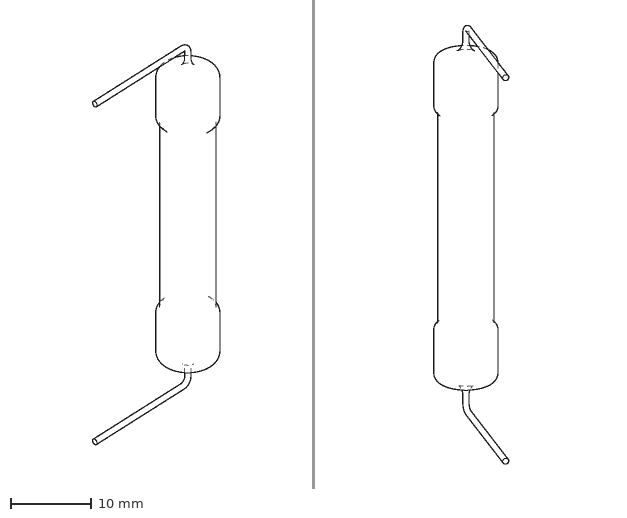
import cadquery as cq
import math

TOTAL_LENGTH = 52.8
TUBE_DIAMETER = 7.0
CAP_RADIUS = 4.0
CAP_EDGE_RADIUS = 0.95
CAP_STRAIGHT_LENGTH = 5.9
NECK_ARC_RADIUS = 0.55
LEAD_RADIUS = 0.4
FLARE_RADIUS = 2.0
LEAD_STUB_LENGTH = 1.0
BEND_RADIUS = 1.0
LEAD_REACH = 17.0

lead_z = TOTAL_LENGTH / 2 - LEAD_RADIUS
bend_start_z = lead_z - BEND_RADIUS
flare_top_z = bend_start_z - LEAD_STUB_LENGTH
cap_top_z = flare_top_z - FLARE_RADIUS
edge_start_z = cap_top_z - CAP_EDGE_RADIUS
neck_top_z = edge_start_z - CAP_STRAIGHT_LENGTH

DIAGONAL = math.sqrt(0.5)
tube_radius = TUBE_DIAMETER / 2
arc_width = NECK_ARC_RADIUS * (1 - DIAGONAL)
arc_height = NECK_ARC_RADIUS * DIAGONAL
cone_height = CAP_RADIUS - tube_radius - 2 * arc_width
neck_bottom_z = neck_top_z - cone_height - 2 * arc_height


def make_cap():
    """Upper cap, with its neck and the flare at the lead's root."""
    edge_center_r = CAP_RADIUS - CAP_EDGE_RADIUS
    flare_center_r = LEAD_RADIUS + FLARE_RADIUS
    edge_middle = (edge_center_r + CAP_EDGE_RADIUS * DIAGONAL, edge_start_z + CAP_EDGE_RADIUS * DIAGONAL)
    flare_middle = (flare_center_r - FLARE_RADIUS * DIAGONAL, flare_top_z - FLARE_RADIUS * DIAGONAL)
    return (
        cq.Workplane("XZ")
        .moveTo(0, neck_bottom_z)
        .lineTo(tube_radius, neck_bottom_z)
        .radiusArc((tube_radius + arc_width, neck_bottom_z + arc_height), NECK_ARC_RADIUS)
        .lineTo(CAP_RADIUS - arc_width, neck_top_z - arc_height)
        .radiusArc((CAP_RADIUS, neck_top_z), -NECK_ARC_RADIUS)
        .lineTo(CAP_RADIUS, edge_start_z)
        .threePointArc(edge_middle, (edge_center_r, cap_top_z))
        .lineTo(flare_center_r, cap_top_z)
        .threePointArc(flare_middle, (LEAD_RADIUS, flare_top_z))
        .lineTo(0, flare_top_z)
        .close()
        .revolve(360, (0, 0), (0, 1))
    )


def make_lead():
    """Round wire that rises from the flare and bends toward -Y."""
    bend_middle = (-BEND_RADIUS * (1 - DIAGONAL), bend_start_z + BEND_RADIUS * DIAGONAL)
    path = (
        cq.Workplane("YZ")
        .moveTo(0, flare_top_z)
        .lineTo(0, bend_start_z)
        .threePointArc(bend_middle, (-BEND_RADIUS, lead_z))
        .lineTo(-LEAD_REACH, lead_z)
    )
    return cq.Workplane("XY").workplane(offset=flare_top_z).circle(LEAD_RADIUS).sweep(path)


tube = cq.Workplane("XY").workplane(offset=-neck_bottom_z).circle(tube_radius).extrude(2 * neck_bottom_z)
upper_end = make_cap().union(make_lead())
result = tube.union(upper_end).union(upper_end.mirror("XY"), clean=True)